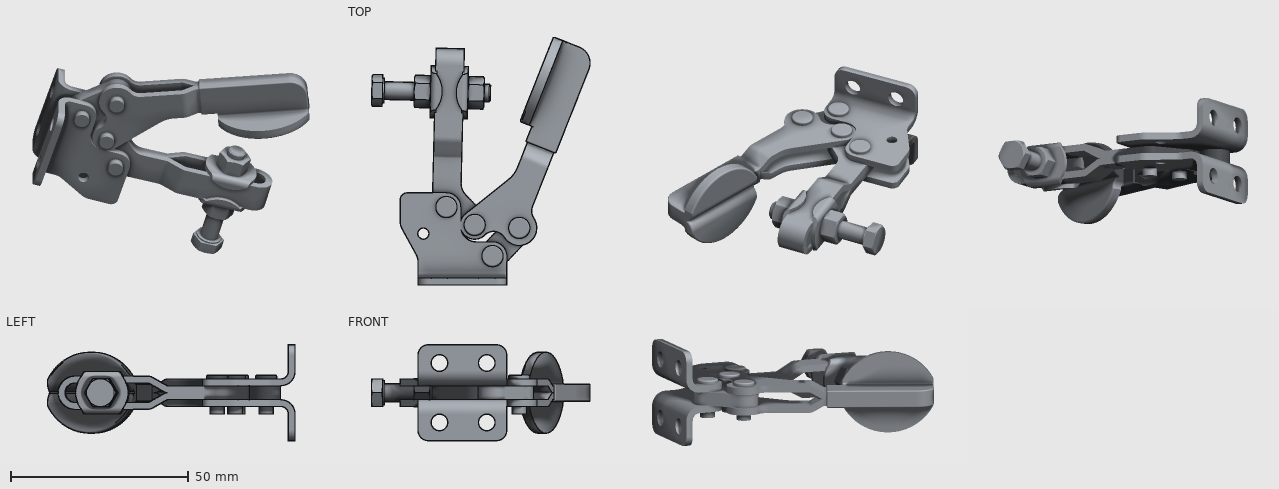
import cadquery as cq
import math


SHEET = 1.95
INNER_LAYER = SHEET
OUTER_LAYER = 2 * SHEET
LOBE_RADIUS = 4.05
STRIP_WIDTH = 8.05

ARM_PIVOT = (8.05, 22.0)
JOINT_PIVOT = (16.0, 17.0)
LINK_PIVOT = (21.05, 8.2)
HANDLE_PIVOT = (28.6, 16.15)

BASE_LEFT = -5.0
BASE_TOP = ARM_PIVOT[1] + LOBE_RADIUS
BASE_STEP_X = ARM_PIVOT[0] + LOBE_RADIUS
BASE_STEP_Y = LINK_PIVOT[1] + LOBE_RADIUS
BASE_WIDTH = LINK_PIVOT[0] + LOBE_RADIUS
BASE_SLANT_LOW = 7.7
BASE_SLANT_HIGH = 16.85
BASE_CORNER = 2.0
BASE_SLANT_RADIUS = 4.2
BASE_STEP_RADIUS = 4.3
FOOT_REACH = 13.55
FOOT_CORNER = 2.95
BEND_INNER = 2.1
FOOT_HOLES_X = (6.1, 19.4)
FOOT_HOLE_Z = 8.4
FOOT_HOLE_DIAMETER = 4.6
SIDE_HOLE = (1.55, 14.55)
SIDE_HOLE_DIAMETER = 3.1

RIVET_DIAMETER = 4.1
RIVET_HEAD_DIAMETER = 6.0
RIVET_HEAD_HEIGHT = 1.05
RIVET_HEAD_ROUND = 0.4
RIVET_TAIL = 2.1

ARM_TILT = -1.4
ARM_LOOP_CENTRE = 40.1
ARM_LOOP_OUTER = 4.7
ARM_BEND_START = 14.05
ARM_BEND_END = 18.9
ARM_CORNER = 4.55
BEND_ROUND = 2.8

SPINDLE_HEIGHT = 32.4
SPINDLE_DIAMETER = 5.1
SPINDLE_END = 11.7
SPINDLE_CHAMFER = 0.4
HEAD_FLATS = 7.8
NUT_FLATS = 8.0
HEAD_START = -21.9
HEAD_LENGTH = 3.1
COLLAR_LENGTH = 0.5
COLLAR_DIAMETER = 7.0
NUT_LENGTH = 4.6
WASHER_RADIUS = 7.4
WASHER_THICKNESS = 1.25
WASHER_BEND = 1.7
WASHER_HALF_HEIGHT = ARM_LOOP_OUTER + WASHER_THICKNESS
WASHER_RIM_HALF = 5.1
LIP_HALF_LENGTH = 4.9
LIP_DEPTH = 1.6

HANDLE_TILT = -21.6
HANDLE_LEFT = 5.25
HANDLE_RIGHT = HANDLE_LEFT + STRIP_WIDTH
HANDLE_LOBE = 4.95
HANDLE_EDGE_ANGLE = 38.7
ARCH_RADIUS = 3.55
HANDLE_INNER_CORNER = 8.0
HANDLE_OUTER_CORNER = 3.6
HANDLE_BEND_START = 23.0
HANDLE_BEND_END = 26.4

GRIP_START = 27.2
GRIP_END = 57.5
GRIP_LEFT = 4.75
GRIP_RIGHT = 13.85
GRIP_HALF_THICKNESS = 2.45
GRIP_CORNER = 4.9
GRIP_ROUND = 0.35
PALM_FACE = 1.1
PALM_BACK = 4.0
PALM_LENGTH = 25.7
PALM_HALF_WIDTH = 11.45
PALM_END_HALF = 3.6
PALM_ROUND = 0.5
PALM_FILLET = 0.55
GROOVE_HALF_WIDTH = 3.0
SLOT_HALF_WIDTH = 0.3
SHOULDER_DEPTH = 1.55
GROOVE_DEPTH = 2.1


def slab(profile, low, high):
    """Extrude an XY profile from Z = low to Z = high."""
    return profile.extrude(high - low).translate((0, 0, low))


def box(x_range, y_range, z_range):
    """Block filling the given X, Y and Z ranges."""
    size = [high - low for low, high in (x_range, y_range, z_range)]
    return cq.Workplane("XY").box(*size, centered=False).translate((x_range[0], y_range[0], z_range[0]))


def round_edge(body, x, y, radius):
    """Fillet the Z-parallel edge nearest to (x, y)."""
    return body.edges("|Z").edges(cq.selectors.NearestToPointSelector((x, y, 0))).fillet(radius)


def capsule(start, end, radius, half_height):
    """Plate with parallel sides and round ends, centred on Z = 0."""
    dx, dy = end[0] - start[0], end[1] - start[1]
    length = math.hypot(dx, dy)
    return (
        cq.Workplane("XY")
        .slot2D(length + 2 * radius, 2 * radius)
        .extrude(half_height, both=True)
        .rotate((0, 0, 0), (0, 0, 1), math.degrees(math.atan2(dy, dx)))
        .translate((start[0] + dx / 2, start[1] + dy / 2, 0))
    )


def rod(x_start, length, diameter):
    """Cylinder along X on the spindle axis."""
    section = cq.Workplane("YZ").center(SPINDLE_HEIGHT, 0).circle(diameter / 2)
    return section.extrude(length).translate((x_start, 0, 0))


def mirrored(body):
    """Add the mirror image below Z = 0."""
    return body.union(body.mirror("XY"))


def local_point(position, origin, tilt):
    """Coordinates of an XY position in a frame at origin, turned by tilt degrees."""
    turn = math.radians(-tilt)
    dx, dy = position[0] - origin[0], position[1] - origin[1]
    return (dx * math.cos(turn) - dy * math.sin(turn), dx * math.sin(turn) + dy * math.cos(turn))


def in_arm_frame(body):
    """Move a body drawn in the arm's frame to its place."""
    return body.rotate((0, 0, 0), (0, 0, 1), ARM_TILT).translate((*ARM_PIVOT, 0))


def base():
    outline = [
        (0, 0),
        (0, BASE_SLANT_LOW),
        (BASE_LEFT, BASE_SLANT_HIGH),
        (BASE_LEFT, BASE_TOP),
        (BASE_STEP_X, BASE_TOP),
        (BASE_STEP_X, BASE_STEP_Y),
        (BASE_WIDTH, BASE_STEP_Y),
        (BASE_WIDTH, 0),
    ]
    corner_radii = [
        BASE_SLANT_RADIUS, BASE_SLANT_RADIUS, BASE_CORNER, LOBE_RADIUS, BASE_STEP_RADIUS, LOBE_RADIUS,
    ]
    plan = slab(cq.Workplane("XY").polyline(outline).close(), 0, FOOT_REACH)
    for (x, y), radius in zip(outline[1:-1], corner_radii):
        plan = round_edge(plan, x, y, radius)

    bend_outer = BEND_INNER + SHEET
    angle_profile = (
        cq.Workplane("YZ")
        .moveTo(BASE_TOP, INNER_LAYER)
        .lineTo(bend_outer, INNER_LAYER)
        .radiusArc((0, INNER_LAYER + bend_outer), bend_outer)
        .lineTo(0, FOOT_REACH)
        .lineTo(SHEET, FOOT_REACH)
        .lineTo(SHEET, OUTER_LAYER + BEND_INNER)
        .radiusArc((bend_outer, OUTER_LAYER), -BEND_INNER)
        .lineTo(BASE_TOP, OUTER_LAYER)
        .close()
        .extrude(BASE_WIDTH - BASE_LEFT)
        .translate((BASE_LEFT, 0, 0))
    )
    plate = angle_profile.intersect(plan)
    plate = plate.edges("|Y").edges(">Z").fillet(FOOT_CORNER)
    for x in FOOT_HOLES_X:
        hole = cq.Workplane("XZ").center(x, FOOT_HOLE_Z).circle(FOOT_HOLE_DIAMETER / 2).extrude(-SHEET)
        plate = plate.cut(hole)
    side_hole = cq.Workplane("XY").center(*SIDE_HOLE).circle(SIDE_HOLE_DIAMETER / 2).extrude(OUTER_LAYER)
    return mirrored(plate.cut(side_hole))


def rivet(position):
    shank = slab(
        cq.Workplane("XY").center(*position).circle(RIVET_DIAMETER / 2),
        -OUTER_LAYER - RIVET_TAIL,
        OUTER_LAYER,
    )
    head = slab(
        cq.Workplane("XY").center(*position).circle(RIVET_HEAD_DIAMETER / 2),
        OUTER_LAYER,
        OUTER_LAYER + RIVET_HEAD_HEIGHT,
    )
    return shank.union(head.faces(">Z").edges().fillet(RIVET_HEAD_ROUND))


def bent_strip(x_left, bend, heights, y_range):
    """Sheet strip along Y, its outer face changing from heights[0] to heights[1] across the bend."""
    slope = math.atan2(heights[1] - heights[0], bend[1] - bend[0])
    shift = SHEET * math.tan(slope / 2)
    outer = [(y_range[0], heights[0]), (bend[0], heights[0]), (bend[1], heights[1]), (y_range[1], heights[1])]
    inner = [
        (y_range[1], heights[1] - SHEET),
        (bend[1] + shift, heights[1] - SHEET),
        (bend[0] + shift, heights[0] - SHEET),
        (y_range[0], heights[0] - SHEET),
    ]
    strip = cq.Workplane("YZ").polyline(outer + inner).close().extrude(STRIP_WIDTH)
    convex, concave = BEND_ROUND, BEND_ROUND - SHEET
    outer_radii = (concave, convex) if slope > 0 else (convex, concave)
    for corner, radius in zip(outer[1:3] + inner[2:0:-1], outer_radii + outer_radii[::-1]):
        nearest = cq.selectors.NearestToPointSelector((STRIP_WIDTH / 2, *corner))
        strip = strip.edges("|X").edges(nearest).fillet(radius)
    return strip.translate((x_left, 0, 0))


def arm():
    half = STRIP_WIDTH / 2
    joint = local_point(JOINT_PIVOT, ARM_PIVOT, ARM_TILT)

    diagonal = LOBE_RADIUS / math.sqrt(2)
    edge_start = (joint[0] + diagonal, joint[1] + diagonal)
    corner = (half, edge_start[1] + edge_start[0] - half)
    web = slab(
        cq.Workplane("XY").polyline(
            [(-half, 0), (0, 0), joint, edge_start, corner, (half, ARM_BEND_START), (-half, ARM_BEND_START)]
        ).close(),
        -INNER_LAYER,
        INNER_LAYER,
    )
    web = round_edge(web, *corner, ARM_CORNER)
    root = web.union(capsule((0, 0), joint, LOBE_RADIUS, INNER_LAYER))

    strip = bent_strip(
        -half,
        (ARM_BEND_START, ARM_BEND_END),
        (INNER_LAYER, ARM_LOOP_OUTER),
        (ARM_BEND_START - BEND_ROUND, ARM_LOOP_CENTRE),
    )
    loop = (
        cq.Workplane("YZ")
        .center(ARM_LOOP_CENTRE, 0)
        .circle(ARM_LOOP_OUTER)
        .circle(ARM_LOOP_OUTER - SHEET)
        .extrude(STRIP_WIDTH)
        .translate((-half, 0, 0))
    )
    tip = ARM_LOOP_CENTRE + ARM_LOOP_OUTER
    end_box = box((-half, half), (ARM_LOOP_CENTRE, tip), (-ARM_LOOP_OUTER, ARM_LOOP_OUTER))
    loop_end = loop.intersect(end_box)
    return in_arm_frame(root.union(mirrored(strip)).union(loop_end))


def hexagon(x_start, length, flats, chamfer_ends):
    """Hexagonal prism along the spindle with its corners turned off at the listed ends."""
    corner_diameter = flats / math.cos(math.pi / 6)
    prism = cq.Workplane("YZ").center(SPINDLE_HEIGHT, 0).polygon(6, corner_diameter).extrude(length)
    turned = cq.Workplane("YZ").center(SPINDLE_HEIGHT, 0).circle(corner_diameter / 2).extrude(length)
    width = (corner_diameter - flats) / 2
    for end in chamfer_ends:
        turned = turned.faces(end).chamfer(width / 2, width)
    return prism.intersect(turned).translate((x_start, 0, 0))


def flanged_washer():
    """Washer against the right edges of the arm, its rims folded back over the arm's faces."""
    face = STRIP_WIDTH / 2
    outer = face + WASHER_THICKNESS
    rim_end = outer - WASHER_BEND
    lip_end = rim_end - LIP_DEPTH
    bend_inner = WASHER_BEND - WASHER_THICKNESS
    flat_half = WASHER_HALF_HEIGHT - WASHER_BEND

    def profile(x, half_height, radius):
        block = box((lip_end, x), (-WASHER_RADIUS, WASHER_RADIUS), (-half_height, half_height))
        return block.edges("|Y").edges(">X").fillet(radius)

    folded = profile(outer, WASHER_HALF_HEIGHT, WASHER_BEND).cut(profile(face, ARM_LOOP_OUTER, bend_inner))
    flat_length = math.sqrt(WASHER_RADIUS**2 - flat_half**2)
    disc = cq.Workplane("YZ").circle(WASHER_RADIUS).extrude(WASHER_BEND).translate((rim_end, 0, 0))
    disc = disc.intersect(box((rim_end, outer), (-WASHER_RADIUS, WASHER_RADIUS), (-flat_half, flat_half)))
    rim = (
        cq.Workplane("YZ")
        .polyline([
            (-flat_length, flat_half),
            (-WASHER_RIM_HALF, WASHER_HALF_HEIGHT),
            (WASHER_RIM_HALF, WASHER_HALF_HEIGHT),
            (flat_length, flat_half),
        ])
        .close()
        .extrude(WASHER_BEND)
        .translate((rim_end, 0, 0))
    )
    lip = slab(
        cq.Workplane("XY")
        .moveTo(rim_end, -LIP_HALF_LENGTH)
        .threePointArc((lip_end, 0), (rim_end, LIP_HALF_LENGTH))
        .close(),
        flat_half,
        WASHER_HALF_HEIGHT,
    )
    blank = disc.union(mirrored(rim)).union(mirrored(lip))
    return folded.intersect(blank).translate((0, SPINDLE_HEIGHT, 0))


def spindle():
    washer_face = STRIP_WIDTH / 2 + WASHER_THICKNESS
    head_end = HEAD_START + HEAD_LENGTH
    body = rod(head_end, SPINDLE_END - head_end, SPINDLE_DIAMETER).faces(">X").chamfer(SPINDLE_CHAMFER)
    body = body.union(hexagon(HEAD_START, HEAD_LENGTH, HEAD_FLATS, ["<X"]))
    body = body.union(rod(head_end, COLLAR_LENGTH, COLLAR_DIAMETER))
    for nut_start in (-washer_face - NUT_LENGTH, washer_face):
        body = body.union(hexagon(nut_start, NUT_LENGTH, NUT_FLATS, ["<X", ">X"]))
    washer = flanged_washer()
    return in_arm_frame(body.union(washer).union(washer.mirror("YZ")))


def arch_centre(end):
    """Centre of the arch touching the joint lobe (at the origin) and the handle pivot lobe."""
    span = math.hypot(*end)
    to_joint = LOBE_RADIUS + ARCH_RADIUS
    to_end = HANDLE_LOBE + ARCH_RADIUS
    along = (span**2 + to_joint**2 - to_end**2) / (2 * span)
    across = math.sqrt(to_joint**2 - along**2)
    ux, uy = end[0] / span, end[1] / span
    return (along * ux + across * uy, along * uy - across * ux)


def handle_plates():
    pivot = local_point(HANDLE_PIVOT, JOINT_PIVOT, HANDLE_TILT)
    arch = arch_centre(pivot)
    edge_angle = math.radians(HANDLE_EDGE_ANGLE - HANDLE_TILT)
    edge_start = (-LOBE_RADIUS * math.sin(edge_angle), LOBE_RADIUS * math.cos(edge_angle))
    corner_y = edge_start[1] + (HANDLE_LEFT - edge_start[0]) * math.tan(edge_angle)
    body = slab(
        cq.Workplane("XY").polyline([
            (0, 0),
            edge_start,
            (HANDLE_LEFT, corner_y),
            (HANDLE_LEFT, HANDLE_BEND_START),
            (HANDLE_RIGHT, HANDLE_BEND_START),
            (HANDLE_RIGHT, pivot[1]),
            pivot,
            arch,
        ]).close(),
        INNER_LAYER,
        OUTER_LAYER,
    )
    for centre, radius in (((0, 0), LOBE_RADIUS), (pivot, HANDLE_LOBE)):
        body = body.union(slab(cq.Workplane("XY").center(*centre).circle(radius), INNER_LAYER, OUTER_LAYER))
    body = body.cut(slab(cq.Workplane("XY").center(*arch).circle(ARCH_RADIUS), INNER_LAYER, OUTER_LAYER))
    body = round_edge(body, HANDLE_LEFT, corner_y, HANDLE_INNER_CORNER)
    lobe_corner_y = pivot[1] + math.sqrt(HANDLE_LOBE**2 - (HANDLE_RIGHT - pivot[0]) ** 2)
    body = round_edge(body, HANDLE_RIGHT, lobe_corner_y, HANDLE_OUTER_CORNER)

    flat_end = HANDLE_BEND_START - BEND_ROUND
    trim = box((HANDLE_LEFT, HANDLE_RIGHT), (flat_end, HANDLE_BEND_START), (INNER_LAYER, OUTER_LAYER))
    strip = bent_strip(
        HANDLE_LEFT,
        (HANDLE_BEND_START, HANDLE_BEND_END),
        (OUTER_LAYER, INNER_LAYER),
        (flat_end, GRIP_END - GRIP_CORNER),
    )
    return mirrored(body.cut(trim).union(strip))


def grip():
    body = box(
        (GRIP_LEFT, GRIP_RIGHT), (GRIP_START, GRIP_END), (-GRIP_HALF_THICKNESS, GRIP_HALF_THICKNESS)
    )
    body = round_edge(body, GRIP_RIGHT, GRIP_END, GRIP_CORNER)
    body = body.edges().fillet(GRIP_ROUND)

    middle = GRIP_END - PALM_LENGTH / 2
    palm = (
        cq.Workplane("YZ")
        .moveTo(GRIP_END, -PALM_END_HALF)
        .lineTo(GRIP_END, PALM_END_HALF)
        .threePointArc((middle, PALM_HALF_WIDTH), (GRIP_END - PALM_LENGTH, PALM_END_HALF))
        .lineTo(GRIP_END - PALM_LENGTH, -PALM_END_HALF)
        .threePointArc((middle, -PALM_HALF_WIDTH), (GRIP_END, -PALM_END_HALF))
        .close()
        .extrude(PALM_BACK - PALM_FACE)
        .translate((PALM_FACE, 0, 0))
    )

    shoulder_width = GROOVE_HALF_WIDTH - SLOT_HALF_WIDTH
    shoulder_radius = (shoulder_width**2 + SHOULDER_DEPTH**2) / (2 * SHOULDER_DEPTH)
    slot_top = PALM_FACE + SHOULDER_DEPTH
    groove = (
        cq.Workplane("XZ")
        .moveTo(PALM_FACE, GROOVE_HALF_WIDTH)
        .radiusArc((slot_top, SLOT_HALF_WIDTH), -shoulder_radius)
        .lineTo(slot_top, -SLOT_HALF_WIDTH)
        .radiusArc((PALM_FACE, -GROOVE_HALF_WIDTH), -shoulder_radius)
        .close()
        .extrude(-GRIP_END)
    )
    palm = palm.cut(groove)
    palm = palm.faces("<X").edges().fillet(PALM_ROUND)
    slot = box((PALM_FACE, PALM_FACE + GROOVE_DEPTH), (0, GRIP_END), (-SLOT_HALF_WIDTH, SLOT_HALF_WIDTH))

    inside_grip = GRIP_LEFT + GRIP_ROUND
    flare_half = GRIP_HALF_THICKNESS + PALM_FILLET
    flare_end = PALM_BACK + PALM_FILLET
    neck = (
        cq.Workplane("XZ")
        .moveTo(PALM_BACK, 0)
        .lineTo(PALM_BACK, flare_half)
        .radiusArc((flare_end, GRIP_HALF_THICKNESS), -PALM_FILLET)
        .lineTo(inside_grip, GRIP_HALF_THICKNESS)
        .lineTo(inside_grip, 0)
        .close()
        .extrude(-PALM_LENGTH)
        .translate((0, GRIP_END - PALM_LENGTH, 0))
    )
    return body.union(palm.cut(slot)).union(mirrored(neck))


def handle():
    body = handle_plates().union(grip())
    return body.rotate((0, 0, 0), (0, 0, 1), HANDLE_TILT).translate((*JOINT_PIVOT, 0))


result = base()
for part in (
    arm(),
    spindle(),
    handle(),
    capsule(LINK_PIVOT, HANDLE_PIVOT, LOBE_RADIUS, INNER_LAYER),
    *[rivet(pivot) for pivot in (ARM_PIVOT, JOINT_PIVOT, LINK_PIVOT, HANDLE_PIVOT)],
):
    result = result.union(part)